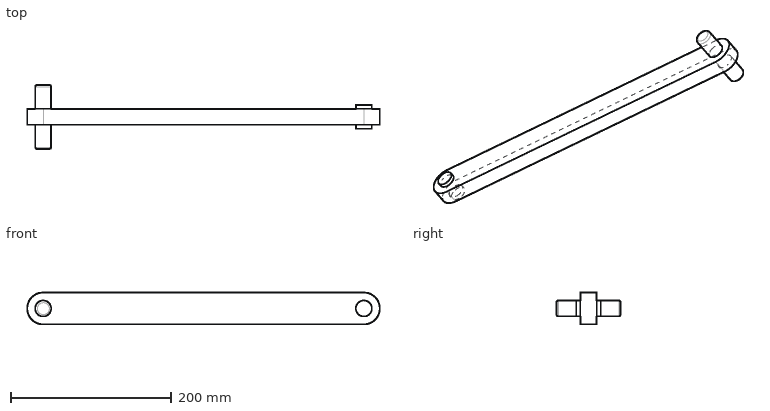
import cadquery as cq

pin_spacing = 400.0
bar_height = 40.0
bar_thickness = 20.0
bar_length = pin_spacing + bar_height

pin_diameter = 20.0
long_pin_length = 80.0
short_pin_length = 30.0
long_pin_edge_radius = 2.5


def make_bar():
    """Strip whose rounded ends are concentric with the pins."""
    return (
        cq.Workplane("XZ")
        .slot2D(bar_length, bar_height)
        .extrude(bar_thickness / 2, both=True)
    )


def make_pin(x, length):
    """Cylinder along Y at the given X, reaching equally far on both sides of the bar."""
    return (
        cq.Workplane("XZ")
        .center(x, 0)
        .circle(pin_diameter / 2)
        .extrude(length / 2, both=True)
    )


def make_long_pin():
    """Pin at the -X end with rounded end rims."""
    pin = make_pin(-pin_spacing / 2, long_pin_length)
    return pin.faces("<Y or >Y").edges().fillet(long_pin_edge_radius)


def make_short_pin():
    """Pin at the +X end with sharp end rims."""
    return make_pin(pin_spacing / 2, short_pin_length)


result = make_bar().union(make_long_pin()).union(make_short_pin())